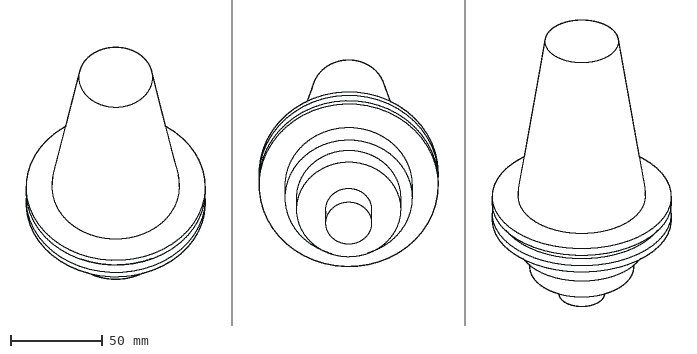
import cadquery as cq

spigot_diameter = 25.3
step_diameter = 57.2
collar_diameter = 69.8
flange_diameter = 98.3
groove_diameter = 91.2
taper_tip_diameter = 40.5

step_bottom = 17.8
collar_bottom = 33.1
flange_bottom = 49.5
flange_top = 65.2
taper_bottom = 68.5
total_height = 169.8

groove_lower_edge = 53.7
groove_floor_bottom = 55.9
groove_floor_top = 58.8
groove_upper_edge = 60.6


def cylinder(diameter, bottom, top):
    """Coaxial cylinder between two heights."""
    return cq.Workplane("XY").workplane(offset=bottom).circle(diameter / 2).extrude(top - bottom)


def taper():
    """Conical shank narrowing towards the top."""
    return (
        cq.Workplane("XZ")
        .moveTo(0, taper_bottom)
        .lineTo(collar_diameter / 2, taper_bottom)
        .lineTo(taper_tip_diameter / 2, total_height)
        .lineTo(0, total_height)
        .close()
        .revolve(360, (0, 0), (0, 1))
    )


def flange_groove():
    """Ring of material removed from the flange rim, with sloping flanks and a flat floor."""
    rim_radius = flange_diameter / 2
    floor_radius = groove_diameter / 2
    return (
        cq.Workplane("XZ")
        .moveTo(rim_radius, groove_lower_edge)
        .lineTo(floor_radius, groove_floor_bottom)
        .lineTo(floor_radius, groove_floor_top)
        .lineTo(rim_radius, groove_upper_edge)
        .close()
        .revolve(360, (0, 0), (0, 1))
    )


flange = cylinder(flange_diameter, flange_bottom, flange_top).cut(flange_groove())

result = (
    cylinder(spigot_diameter, 0, step_bottom)
    .union(cylinder(step_diameter, step_bottom, collar_bottom))
    .union(cylinder(collar_diameter, collar_bottom, flange_bottom))
    .union(flange)
    .union(cylinder(collar_diameter, flange_top, taper_bottom))
    .union(taper())
)